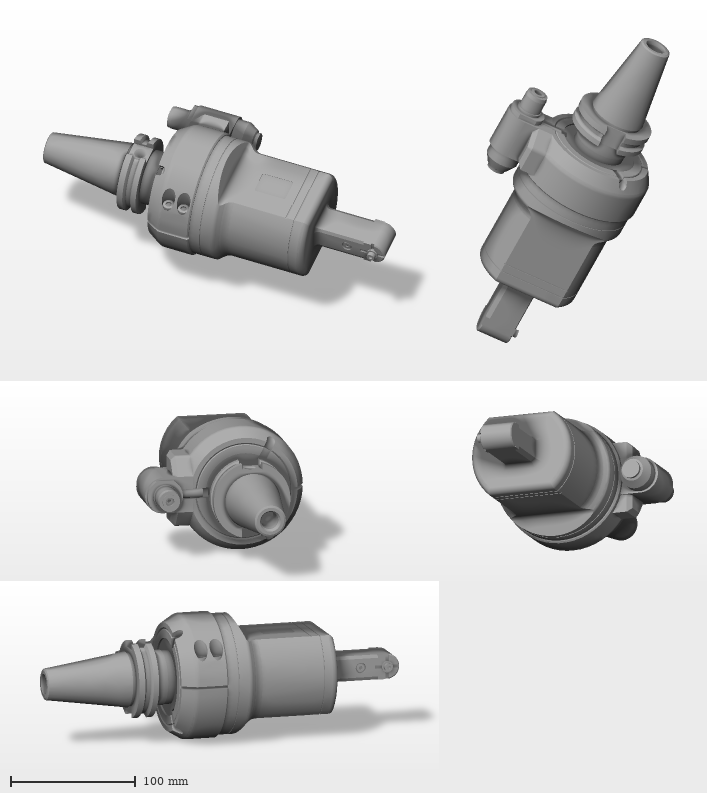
import cadquery as cq
import math


taper_end = 68.1
flange_start = 70.8
flange_end = 87.2
neck_groove = 97.5
block_front = 101.5
ring_front = 102.2
ring_back = 139.8
head_end = 234.5
overall_length = 293.7
overall_width = 132.2

cut_margin = 3.0

taper_small_radius = 12.5
end_face_radius = 11.2
taper_slope = 7 / 48
taper_chamfer = 1.0
neck_radius = 22.3
relief_radius = 21.7
arbor_seat_end = 117.5
flange_radius = 31.5
flange_groove_radius = 28.2
flange_groove = [75.8, 77.5, 81.0, 82.8]
key_slot_width = 16.7
upper_key_floor = 25.0
lower_key_floor = 22.5
dimple_diameter = 10.0
dimple_depth = 3.5
dimple_x = 79.3
drawbar_mouth_radius = 8.5
drawbar_bore_radius = 7.0
drawbar_mouth_depth = 3.0
drawbar_depth = 23.5

ring_radius = 102.0 / 2
ring_face_radius = 44.0
ring_chamfer_end = 112.0
ring_chamfer_radius = 50.0
ring_shoulder = 115.7
ring_back_chamfer = 1.2
ring_bore_radius = 38.8
ring_bore_chamfer = 1.2
ring_split_width = 2.5
ring_slot_width = 8.0
plain_slot_angles = (120, 240)
ring_slot_depth = 7.0
slot_inner_radius = 28.0
hub_slot_width = 7.0
hub_slot_depth = 3.0
clamp_bore_diameter = 11.0
clamp_head_diameter = 9.0
clamp_socket_diameter = 5.0
clamp_x = [119.3, 132.2]
clamp_y = -40.8
clamp_floor = 20.5
clamp_head_height = 3.0
clamp_socket_depth = 1.5

lug_half_height = 29.0
lug_inner_y = 42.0
lug_outer_y = 57.5
lug_end = 134.8
lug_ramp_end = 113.7
lug_ramp_fillet = 4.5
lug_chamfer = 3.5
barrel_radius = 14.7
barrel_outer_y = overall_width - ring_radius
barrel_y = barrel_outer_y - barrel_radius
barrel_end = 136.0
finger_diameter = 8.0
finger_tip_y = 33.5
finger_root_y = 55.8
finger_slot_width = 8.5
finger_slot_depth = 8.2

pin_y = 65.5
pin_collar_radius = 14.5
pin_collar_start = 97.5
pin_collar_flat = 12.3
pin_start = 79.5
pin_shaft_radius = 9.0
pin_neck_radius = 8.5
pin_cap_radius = 13.5
pin_end = 156.3
pin_shoulder = 80.5
pin_bevel_end = 83.7
pin_shaft_end = 95.2
pin_cap_end = 145.5
pin_cone_end = 152.7
pin_stub_start = 153.5
pin_tip_radius = 6.0
pin_step_radius = 10.0
pin_stub_radius = 7.3
pin_bore_diameter = 7.0
pin_bore_depth = 3.0
pin_pilot_diameter = 3.0
pin_pilot_depth = 8.8

hub_chamfer = 0.5
hub_recess_depth = 1.5
head_disc_radius = 97.8 / 2
head_radius = 42.5
head_flat = 32.3
head_rim_fillet = 5.0
disc_end = 158.0
cone_start = (161.5, 47.3)
cone_end = (164.2, 45.0)
blend_end = 170.5
groove_width = 1.0
groove_depth = 0.5
disc_groove_x = 149.0
cover_joint_x = 222.5
plate_joint_x = 215.3
flat_wall_top_x = 154.0
flat_wall_angle = 20
flat_wall_fillet = 3.8
label_length = 26.5
label_width = 19.5
label_x = 194.2
label_corner = 1.5
label_depth = 0.3

arm_half_height = 10.3
arm_back_y = 14.7
arm_front_y = -12.3
arm_fillet = 3.8
arm_chamfer_end = 275.8
arm_chamfer_z = 2.5
arm_back_chamfer = 3.5
arm_front_chamfer = 1.2
arm_tip_chamfer = 1.0
arm_screw_x = 261.5
arm_screw_bore = 8.5
arm_screw_head = 6.5
arm_screw_sink = 0.5
arm_screw_depth = 1.8
arm_screw_socket = 3.0
spindle_x = overall_length - arm_half_height
spindle_disc_diameter = 18.2
spindle_disc_depth = 4.7
spindle_key_width = 2.5
spindle_key_depth = 1.5
spindle_collar_diameter = 9.0
spindle_collar_height = 1.2
spindle_nose_diameter = 6.5
spindle_nose_height = 4.7
spindle_socket_diameter = 3.0
spindle_socket_depth = 1.8


def box(x0, x1, y0, y1, z0, z1):
    return cq.Workplane("XY").box(x1 - x0, y1 - y0, z1 - z0, centered=False).translate((x0, y0, z0))


def turned(points):
    """Solid of revolution about the X axis from (x, radius) points."""
    return cq.Workplane("XY").polyline(points).close().revolve(360, (0, 0, 0), (1, 0, 0))


def ring_groove(x, radius):
    """Tool for a narrow turned groove centred at x on a surface of the given radius."""
    start = x - groove_width / 2
    outer = cq.Workplane("YZ", origin=(start, 0, 0)).circle(radius + cut_margin)
    return outer.circle(radius - groove_depth).extrude(groove_width)


def upright_cylinder(x, y, z0, z1, diameter):
    return cq.Workplane("XY", origin=(x, y, z0)).circle(diameter / 2).extrude(z1 - z0)


def cross_cylinder(x, y0, y1, diameter):
    """Cylinder along Y at Z = 0, from y0 up to y1."""
    return cq.Workplane("XZ", origin=(x, y0, 0)).circle(diameter / 2).extrude(y0 - y1)


def round_slot(width, depth):
    """Round-bottomed slot tool in the ring face, running outwards along +Y."""
    axis_x = ring_front + depth - width / 2
    reach = ring_radius + cut_margin
    tool = cross_cylinder(axis_x, slot_inner_radius, reach, width)
    return tool.union(box(block_front, axis_x, slot_inner_radius, reach, -width / 2, width / 2))


def around_axis(tool, angle):
    return tool.rotate((0, 0, 0), (1, 0, 0), angle)


def make_arbor():
    wall_start, floor_start, floor_end, wall_end = flange_groove
    arbor = turned([
        (0, 0),
        (0, end_face_radius),
        (taper_chamfer, taper_small_radius + taper_slope * taper_chamfer),
        (taper_end, taper_small_radius + taper_slope * taper_end),
        (taper_end, relief_radius),
        (flange_start, relief_radius),
        (flange_start, flange_radius),
        (wall_start, flange_radius),
        (floor_start, flange_groove_radius),
        (floor_end, flange_groove_radius),
        (wall_end, flange_radius),
        (flange_end, flange_radius),
        (flange_end, neck_radius),
        (neck_groove, neck_radius),
        (neck_groove, relief_radius),
        (arbor_seat_end, relief_radius),
        (arbor_seat_end, 0),
    ])
    drawbar_bore = turned([
        (0, 0),
        (0, drawbar_mouth_radius),
        (drawbar_mouth_depth, drawbar_bore_radius),
        (drawbar_depth, drawbar_bore_radius),
        (drawbar_depth, 0),
    ])
    arbor = arbor.cut(drawbar_bore)
    half = key_slot_width / 2
    arbor = arbor.cut(box(flange_start, flange_end, -half, half, upper_key_floor, flange_radius))
    arbor = arbor.cut(box(flange_start, flange_end, -half, half, -flange_radius, -lower_key_floor))
    dimple = cq.Solid.makeCone(
        0, dimple_diameter / 2, dimple_depth, cq.Vector(dimple_x, 0, upper_key_floor - dimple_depth)
    )
    return arbor.cut(cq.Workplane(dimple))


def make_lugs():
    """Wide block behind the barrel, ramped at the front on its upper and lower sides."""
    lugs = (
        cq.Workplane("XZ", origin=(0, lug_outer_y, 0))
        .polyline([
            (block_front, -barrel_radius),
            (block_front, barrel_radius),
            (lug_ramp_end, lug_half_height),
            (lug_end, lug_half_height),
            (lug_end, -lug_half_height),
            (lug_ramp_end, -lug_half_height),
        ])
        .close()
        .extrude(lug_outer_y - lug_inner_y)
    )
    for side in (-1, 1):
        ramp_corner = cq.selectors.NearestToPointSelector(
            (lug_ramp_end, (lug_inner_y + lug_outer_y) / 2, side * lug_half_height)
        )
        lugs = lugs.edges(ramp_corner).fillet(lug_ramp_fillet)
    return lugs.faces(">Y").edges("not <X").chamfer(lug_chamfer)


def make_barrel():
    """Round-ended housing that carries the stop pin."""
    barrel = cq.Workplane("YZ", origin=(block_front, barrel_y, 0)).circle(barrel_radius)
    barrel = barrel.extrude(barrel_end - block_front)
    return barrel.union(
        box(block_front, barrel_end, lug_inner_y, barrel_y, -barrel_radius, barrel_radius)
    )


def cut_clamp_screws(ring):
    """Counterbores at the split, each with a socket screw head standing on its floor."""
    head_top = clamp_floor + clamp_head_height
    for x in clamp_x:
        ring = ring.cut(upright_cylinder(x, clamp_y, clamp_floor, ring_radius, clamp_bore_diameter))
        ring = ring.union(upright_cylinder(x, clamp_y, clamp_floor, head_top, clamp_head_diameter))
        ring = ring.cut(
            upright_cylinder(x, clamp_y, head_top - clamp_socket_depth, head_top, clamp_socket_diameter)
        )
    return ring


def make_ring():
    ring = (
        cq.Workplane("XY")
        .moveTo(ring_front, ring_bore_radius + ring_bore_chamfer)
        .lineTo(ring_front, ring_face_radius)
        .lineTo(ring_chamfer_end, ring_chamfer_radius)
        .tangentArcPoint((ring_shoulder, ring_radius), relative=False)
        .lineTo(ring_back - ring_back_chamfer, ring_radius)
        .lineTo(ring_back, ring_radius - ring_back_chamfer)
        .lineTo(ring_back, ring_bore_radius)
        .lineTo(ring_front + ring_bore_chamfer, ring_bore_radius)
        .close()
        .revolve(360, (0, 0, 0), (1, 0, 0))
    )
    ring = ring.union(make_lugs()).union(make_barrel())
    ring = cut_clamp_screws(ring)
    half_split = ring_split_width / 2
    split_outer_y = -ring_radius - cut_margin
    split_inner_y = -ring_bore_radius + cut_margin
    ring = ring.cut(box(ring_front, ring_back, split_outer_y, split_inner_y, -half_split, half_split))
    ring = ring.cut(round_slot(finger_slot_width, finger_slot_depth))
    for angle in plain_slot_angles:
        ring = ring.cut(around_axis(round_slot(ring_slot_width, ring_slot_depth), angle))
    finger_x = ring_front + finger_diameter / 2
    ring = ring.union(cross_cylinder(finger_x, finger_tip_y, finger_root_y, finger_diameter))
    pin_hole = cq.Workplane("YZ", origin=(block_front, pin_y, 0)).circle(pin_shaft_radius)
    return ring.cut(pin_hole.extrude(barrel_end - block_front))


def make_stop_pin():
    pin = turned([
        (pin_start, 0),
        (pin_start, pin_tip_radius),
        (pin_shoulder, pin_tip_radius),
        (pin_shoulder, pin_neck_radius),
        (pin_bevel_end, pin_shaft_radius),
        (pin_shaft_end, pin_shaft_radius),
        (pin_shaft_end, pin_step_radius),
        (pin_collar_start, pin_step_radius),
        (pin_collar_start, pin_collar_radius),
        (block_front, pin_collar_radius),
        (block_front, pin_shaft_radius),
        (barrel_end, pin_shaft_radius),
        (barrel_end, pin_cap_radius),
        (pin_cap_end, pin_cap_radius),
        (pin_cone_end, pin_shaft_radius),
        (pin_stub_start, pin_stub_radius),
        (pin_end, pin_stub_radius),
        (pin_end, 0),
    ])
    far = pin_collar_radius + cut_margin
    for side in (-1, 1):
        z0, z1 = sorted((side * pin_collar_flat, side * far))
        pin = pin.cut(box(pin_collar_start, block_front, -far, far, z0, z1))
    mouth = cq.Workplane("YZ", origin=(pin_start, 0, 0))
    pin = pin.cut(mouth.circle(pin_bore_diameter / 2).extrude(pin_bore_depth))
    pin = pin.cut(mouth.circle(pin_pilot_diameter / 2).extrude(pin_pilot_depth))
    return pin.translate((0, pin_y, 0))


def make_flat_tool(side):
    """Cutter for one flat (side +1 upper, -1 lower), with a leaning wall and a rounded root."""
    top_z = ring_radius + cut_margin
    slope = math.tan(math.radians(flat_wall_angle))
    wall_top = flat_wall_top_x - slope * (top_z - head_disc_radius)
    wall_foot = flat_wall_top_x + slope * (head_disc_radius - head_flat)
    tool = (
        cq.Workplane("XZ", origin=(0, ring_radius, 0))
        .polyline([
            (wall_top, side * top_z),
            (wall_foot, side * head_flat),
            (head_end, side * head_flat),
            (head_end, side * top_z),
        ])
        .close()
        .extrude(2 * ring_radius)
    )
    root = cq.selectors.NearestToPointSelector((wall_foot, 0, side * head_flat))
    return tool.edges(root).fillet(flat_wall_fillet)


def make_head_body():
    body = (
        cq.Workplane("XY")
        .moveTo(ring_front, 0)
        .lineTo(ring_front, ring_bore_radius - hub_chamfer)
        .lineTo(ring_front + hub_chamfer, ring_bore_radius)
        .lineTo(ring_back, ring_bore_radius)
        .lineTo(ring_back, head_disc_radius)
        .lineTo(disc_end, head_disc_radius)
        .tangentArcPoint(cone_start, relative=False)
        .lineTo(*cone_end)
        .tangentArcPoint((blend_end, head_radius), relative=False)
        .lineTo(head_end, head_radius)
        .lineTo(head_end, 0)
        .close()
        .revolve(360, (0, 0, 0), (1, 0, 0))
    )
    for side in (-1, 1):
        body = body.cut(make_flat_tool(side))
    body = body.faces(">X").edges().fillet(head_rim_fillet)

    body = body.cut(ring_groove(disc_groove_x, head_disc_radius))
    body = body.cut(ring_groove(cover_joint_x, head_radius))
    for side in (-1, 1):
        for x in (plate_joint_x, cover_joint_x):
            groove = cq.Workplane("XY", origin=(x, 0, side * head_flat))
            body = body.cut(groove.box(groove_width, 2 * head_radius, 2 * groove_depth))

    label = cq.Workplane("XY", origin=(label_x, 0, head_flat))
    label = label.box(label_length, label_width, 2 * label_depth)
    return body.cut(label.edges("|Z").fillet(label_corner))


def arm_edge_chamfer(y_face, depth, side):
    """Wedge tool along one long edge of the arm; depth is signed towards the inside of the arm."""
    edge_z = side * arm_half_height
    return (
        cq.Workplane("YZ", origin=(head_end, 0, 0))
        .moveTo(y_face, edge_z)
        .lineTo(y_face + depth, edge_z)
        .lineTo(y_face, edge_z - side * arm_chamfer_z)
        .close()
        .extrude(arm_chamfer_end - head_end)
    )


def add_arm(body):
    width = arm_back_y - arm_front_y
    tip = cq.Workplane("XZ", origin=(spindle_x, arm_back_y, 0)).circle(arm_half_height).extrude(width)
    tip = tip.edges().chamfer(arm_tip_chamfer)
    bar = box(head_end, spindle_x, arm_front_y, arm_back_y, -arm_half_height, arm_half_height)
    for side in (-1, 1):
        bar = bar.cut(arm_edge_chamfer(arm_back_y, -arm_back_chamfer, side))
        bar = bar.cut(arm_edge_chamfer(arm_front_y, arm_front_chamfer, side))
    body = body.union(bar)
    slack = 0.3
    root_edges = cq.selectors.BoxSelector(
        (head_end - slack, arm_front_y - slack, -arm_half_height - slack),
        (head_end + slack, arm_back_y + slack, arm_half_height + slack),
    )
    body = body.edges(root_edges).fillet(arm_fillet)
    return body.union(tip)


def cut_arm_screw(body):
    """Recessed socket screw in the front side of the arm."""
    floor_y = arm_front_y + arm_screw_depth
    body = body.cut(cross_cylinder(arm_screw_x, arm_front_y, floor_y, arm_screw_bore))
    body = body.union(cross_cylinder(arm_screw_x, arm_front_y + arm_screw_sink, floor_y, arm_screw_head))
    return body.cut(cross_cylinder(arm_screw_x, arm_front_y, floor_y, arm_screw_socket))


def cut_hub_face(body):
    """Shallow recess around the arbor, the finger slot and the two plain slots."""
    recess = cq.Workplane("YZ", origin=(ring_front, 0, 0)).circle(flange_radius).extrude(hub_recess_depth)
    body = body.cut(recess)
    body = body.cut(round_slot(finger_slot_width, finger_slot_depth))
    half = hub_slot_width / 2
    slot_end = ring_front + hub_slot_depth
    hub_slot = box(ring_front, slot_end, slot_inner_radius, ring_bore_radius, -half, half)
    for angle in plain_slot_angles:
        body = body.cut(around_axis(hub_slot, angle))
    return body


def make_head():
    head = add_arm(make_head_body())
    head = cut_arm_screw(head)
    head = cut_hub_face(head)
    seat = cq.Workplane("YZ", origin=(ring_front, 0, 0)).circle(relief_radius)
    head = head.cut(seat.extrude(arbor_seat_end - ring_front))
    socket_back = arm_front_y + spindle_disc_depth
    head = head.cut(cross_cylinder(spindle_x, arm_front_y, socket_back, spindle_disc_diameter))
    return head.cut(make_key_slots())


def make_key_slots():
    """Tool for the crossed key slots in the arm tip and the spindle disc."""
    reach = arm_half_height + cut_margin
    half = spindle_key_width / 2
    slot_back = arm_front_y + spindle_key_depth
    level = box(spindle_x - arm_half_height, spindle_x + reach, arm_front_y, slot_back, -half, half)
    upright = box(spindle_x - half, spindle_x + half, arm_front_y, slot_back, -reach, reach)
    return level.union(upright)


def make_spindle():
    disc_back = arm_front_y + spindle_disc_depth
    collar_front = arm_front_y - spindle_collar_height
    nose_front = arm_front_y - spindle_nose_height
    spindle = cross_cylinder(spindle_x, arm_front_y, disc_back, spindle_disc_diameter)
    spindle = spindle.cut(make_key_slots())
    spindle = spindle.union(cross_cylinder(spindle_x, collar_front, disc_back, spindle_collar_diameter))
    spindle = spindle.union(cross_cylinder(spindle_x, nose_front, disc_back, spindle_nose_diameter))
    socket_back = nose_front + spindle_socket_depth
    return spindle.cut(cross_cylinder(spindle_x, nose_front, socket_back, spindle_socket_diameter))


arbor = make_arbor()
ring = make_ring()
stop_pin = make_stop_pin()
head = make_head()
spindle = make_spindle()
result = cq.Compound.makeCompound([
    arbor.solids().val(),
    ring.solids().val(),
    stop_pin.solids().val(),
    head.solids().val(),
    spindle.solids().val(),
])